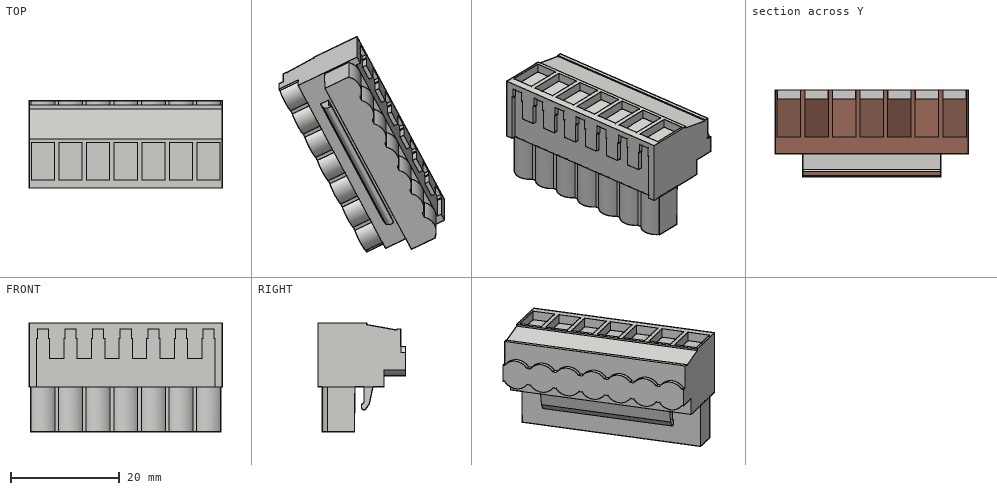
import cadquery as cq

pole_count = 7
length = 35.55
pitch = length / pole_count
pole_xs = [(i + 0.5) * pitch for i in range(pole_count)]

height = 20.05
depth = 16.1
underside_z = 8.3
wire_deck_depth = 9.0
slope_start_z = height - 0.32
slope_end_z = height - 1.3
lip_front_y = 14.5
lip_top_z = height - 1.1
back_wall_y = 15.25
bar_top_z = 14.58
bar_bottom_z = 11.4
step_y = 12.15

bulge_half_width = 2.2
screw_barrel_radius = 2.7
bar_middle_z = (bar_top_z + bar_bottom_z) / 2

recess_depth = 0.8
recess_base_top_z = height - 6.6
slot_step_z = height - 2.9
slot_top_z = height - 1.1
tab_width = 2.63
lower_slot_width = pitch - tab_width
upper_slot_width = 2.05

socket_side_gap = 0.2
socket_length = length - 2 * socket_side_gap
socket_web_y = 1.78
socket_front_y = recess_depth
socket_back_top_y = 6.83
socket_back_bottom_y = 6.72

hook_start_x = pitch
hook_length = length - 2 * hook_start_x
hook_front_y = 8.45
hook_back_y = 10.15
hook_neck_z = underside_z - 2.88
hook_bend_y = 9.45
hook_bend_z = underside_z - 3.15
hook_nose_top_z = underside_z - 3.27
hook_tip_radius = 0.5
hook_tip_y = 8.5
hook_tip_z = underside_z - 3.77
hook_heel_y = 8.82
hook_heel_z = underside_z - 4.05

pocket_width = 4.23
pocket_front_y = 1.53
pocket_back_y = 8.35
pocket_depth = 1.67
clamp_top_z = height - pocket_depth
clamp_bottom_z = bar_bottom_z


def box_between(x0, x1, y0, y1, z0, z1):
    """Box given by its limits along each axis."""
    return cq.Workplane("XY").box(x1 - x0, y1 - y0, z1 - z0, centered=False).translate((x0, y0, z0))


def pole_box(x, width, y0, y1, z0, z1):
    """Box centred on a pole along X."""
    return box_between(x - width / 2, x + width / 2, y0, y1, z0, z1)


def make_shell():
    """Main housing outline with the sloped top, back bar and underside step."""
    outline = [
        (0, underside_z),
        (0, height),
        (wire_deck_depth, height),
        (wire_deck_depth, slope_start_z),
        (lip_front_y, slope_end_z),
        (lip_front_y, lip_top_z),
        (back_wall_y, lip_top_z),
        (back_wall_y, bar_top_z),
        (depth, bar_top_z),
        (depth, bar_bottom_z),
        (step_y, bar_bottom_z),
        (step_y, underside_z),
    ]
    return cq.Workplane("YZ").polyline(outline).close().extrude(length)


def make_screw_barrel_bulge(x, flat_z, crown_z):
    """Round bulge on the back bar, from its flat face to its crown."""
    profile = (
        cq.Workplane("XZ", origin=(0, depth, 0))
        .moveTo(x - bulge_half_width, flat_z)
        .threePointArc((x, crown_z), (x + bulge_half_width, flat_z))
        .close()
    )
    return profile.extrude(depth - step_y)


def make_socket_block():
    """Block with a slightly drafted back and one round bulge per pole in front."""
    outline = [
        (socket_web_y, 0),
        (socket_web_y, underside_z),
        (socket_back_top_y, underside_z),
        (socket_back_bottom_y, 0),
    ]
    block = (
        cq.Workplane("YZ", origin=(socket_side_gap, 0, 0)).polyline(outline).close().extrude(socket_length)
    )
    for x in pole_xs:
        bulge = (
            cq.Workplane("XY")
            .moveTo(x - bulge_half_width, socket_web_y)
            .threePointArc((x, socket_front_y), (x + bulge_half_width, socket_web_y))
            .close()
            .extrude(underside_z)
        )
        block = block.union(bulge)
    return block


def make_latch_hook():
    """Tapered hook strip with a rounded nose, centred along the housing."""
    return (
        cq.Workplane("YZ", origin=(hook_start_x, 0, 0))
        .moveTo(hook_front_y, underside_z)
        .lineTo(hook_back_y, underside_z)
        .lineTo(hook_bend_y, hook_bend_z)
        .lineTo(hook_heel_y, hook_heel_z)
        .threePointArc(
            (hook_tip_y, hook_tip_z - hook_tip_radius),
            (hook_tip_y - hook_tip_radius, hook_tip_z),
        )
        .lineTo(hook_tip_y - hook_tip_radius, hook_nose_top_z)
        .lineTo(hook_front_y, hook_neck_z)
        .close()
        .extrude(hook_length)
    )


def make_front_recess():
    """Recess open at the underside, rising into one stepped slot per pole."""
    margin = (pitch - lower_slot_width) / 2
    recess = box_between(margin, length - margin, 0, recess_depth, underside_z, recess_base_top_z)
    for x in pole_xs:
        lower_slot = pole_box(x, lower_slot_width, 0, recess_depth, recess_base_top_z, slot_step_z)
        upper_slot = pole_box(x, upper_slot_width, 0, recess_depth, slot_step_z, slot_top_z)
        recess = recess.union(lower_slot).union(upper_slot)
    return recess


def make_housing():
    """Housing with its sockets, hook and wire pockets."""
    body = make_shell()
    for x in pole_xs:
        body = body.union(make_screw_barrel_bulge(x, bar_top_z, bar_middle_z + screw_barrel_radius))
        body = body.union(make_screw_barrel_bulge(x, bar_bottom_z, bar_middle_z - screw_barrel_radius))
    body = body.cut(make_front_recess())
    body = body.union(make_socket_block()).union(make_latch_hook())
    for x in pole_xs:
        body = body.cut(pole_box(x, pocket_width, pocket_front_y, pocket_back_y, clamp_bottom_z, height))
    return body


def make_clamp(x):
    """Wire clamp block filling a pocket up to its visible floor."""
    return pole_box(x, pocket_width, pocket_front_y, pocket_back_y, clamp_bottom_z, clamp_top_z)


housing = make_housing()
clamps = [make_clamp(x).val() for x in pole_xs]

result = cq.Compound.makeCompound([housing.val(), *clamps])